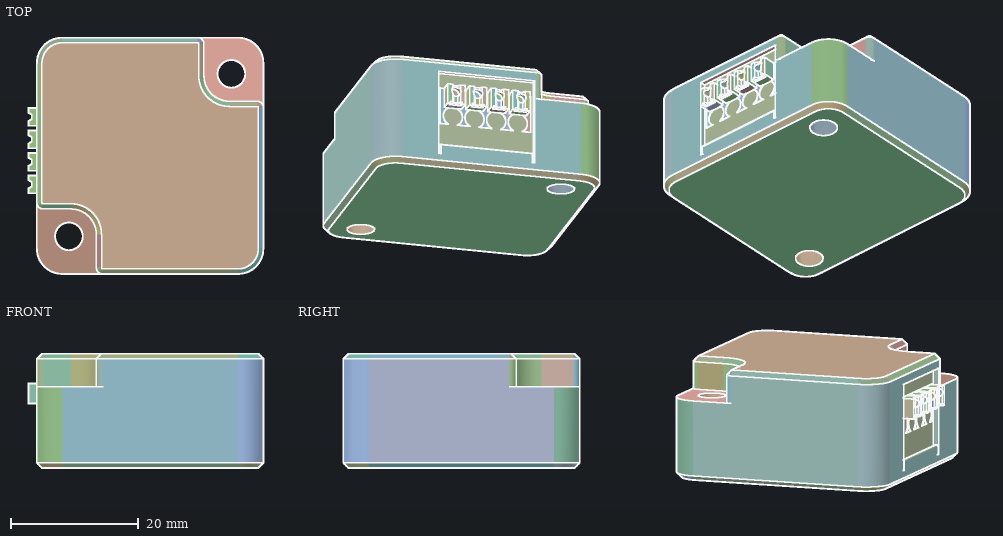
import cadquery as cq

overall_x = 36.78
body_y = 37.0
body_z = 17.9
block_projection = 1.3
body_x = overall_x - block_projection
corner_radius = 4.0
rim_chamfer = 0.8

ledge_z = 12.73
hole_spacing = 25.42
hole_shift_y = 0.1
hole_diameter = 4.3
ledge_wall_offset = 4.3
ledge_edge_radius = 1.0

side_x = -body_x / 2
recess_center_y = 0.8
recess_width = 15.55
recess_bottom_z = 2.0
recess_top_z = 15.7
recess_depth = 0.9
floor_x = side_x + recess_depth

lip_side_gap = 0.35
lip_thickness = 0.35
lip_top_z = 3.6
lip_round_radius = 0.3

plate_width = 14.73
plate_bottom_z = 7.33
plate_top_z = 13.25
plate_thickness = 0.07
terminal_count = 4
terminal_pitch = 3.5
block_width = 2.8
block_bottom_z = 10.05
front_x = side_x - block_projection

groove_mouth_width = 1.3
groove_floor_width = 0.7
groove_depth = 0.48
screw_hole_radius = 0.75
screw_hole_z = 12.2
screw_hole_depth = 1.48
wire_opening_radius = 1.55
wire_opening_z = (plate_bottom_z + block_bottom_z) / 2
wire_notch_width = 1.92
wire_notch_top_z = 10.35
wire_notch_depth = 0.75


def box_between(x0, x1, center_y, width, z0, z1):
    """Box from x0 to x1 and z0 to z1, centred on center_y."""
    corner = (x0, center_y - width / 2, z0)
    return cq.Workplane("XY").box(x1 - x0, width, z1 - z0, centered=False).translate(corner)


def make_base():
    base = cq.Workplane("XY").rect(body_x, body_y).extrude(ledge_z)
    return base.edges("|Z").fillet(corner_radius).faces("<Z").chamfer(rim_chamfer)


def make_cover():
    """Upper part of the enclosure, cut back at the two mounting corners."""
    half_x = body_x / 2
    half_y = body_y / 2
    wall_x = hole_spacing / 2 - ledge_wall_offset
    back_wall_y = hole_shift_y + wall_x
    front_wall_y = hole_shift_y - wall_x
    outline = [
        (-wall_x, -half_y),
        (half_x, -half_y),
        (half_x, back_wall_y),
        (wall_x, back_wall_y),
        (wall_x, half_y),
        (-half_x, half_y),
        (-half_x, front_wall_y),
        (-wall_x, front_wall_y),
    ]
    inner_corners = [(wall_x, back_wall_y), (-wall_x, front_wall_y)]
    outer_corners = [(half_x, -half_y), (-half_x, half_y)]
    ledge_ends = [(half_x, back_wall_y), (wall_x, half_y), (-half_x, front_wall_y), (-wall_x, -half_y)]

    cover = cq.Workplane("XY", origin=(0, 0, ledge_z)).polyline(outline).close()
    cover = cover.extrude(body_z - ledge_z)
    middle_z = (ledge_z + body_z) / 2
    for x, y in inner_corners + outer_corners:
        cover = cover.edges(cq.NearestToPointSelector((x, y, middle_z))).fillet(corner_radius)
    for x, y in ledge_ends:
        cover = cover.edges(cq.NearestToPointSelector((x, y, middle_z))).fillet(ledge_edge_radius)
    return cover.faces(">Z").chamfer(rim_chamfer)


def make_mounting_holes():
    offset = hole_spacing / 2
    centers = [(-offset, hole_shift_y - offset), (offset, hole_shift_y + offset)]
    return cq.Workplane("XY").pushPoints(centers).circle(hole_diameter / 2).extrude(body_z)


def make_recess():
    """Volume removed from the -X wall, leaving the rounded lip standing."""
    recess = box_between(side_x, floor_x, recess_center_y, recess_width, recess_bottom_z, recess_top_z)
    lip_width = recess_width - 2 * lip_side_gap
    lip_back_x = side_x + lip_thickness
    lip = box_between(side_x, lip_back_x, recess_center_y, lip_width, recess_bottom_z, lip_top_z)
    lip = lip.edges("<X and >Z").fillet(lip_round_radius)
    return recess.cut(lip)


def cylinder_along_x(x, y, z, radius, depth):
    return cq.Workplane("YZ", origin=(x, y, z)).circle(radius).extrude(depth)


def cut_terminal(connector, y):
    """Cut the screw groove, screw hole and keyhole wire opening of one terminal."""
    groove_x = front_x + groove_depth
    groove_profile = [
        (front_x, y - groove_mouth_width / 2),
        (groove_x, y - groove_floor_width / 2),
        (groove_x, y + groove_floor_width / 2),
        (front_x, y + groove_mouth_width / 2),
    ]
    groove = cq.Workplane("XY", origin=(0, 0, block_bottom_z)).polyline(groove_profile).close()
    groove = groove.extrude(plate_top_z - block_bottom_z)
    screw_hole = cylinder_along_x(front_x, y, screw_hole_z, screw_hole_radius, screw_hole_depth)

    opening_depth = floor_x - front_x
    wire_opening = cylinder_along_x(front_x, y, wire_opening_z, wire_opening_radius, opening_depth)
    below_block = box_between(front_x, floor_x, y, 2 * wire_opening_radius, plate_bottom_z, block_bottom_z)
    wire_opening = wire_opening.intersect(below_block)
    notch_x = front_x + wire_notch_depth
    notch = box_between(front_x, notch_x, y, wire_notch_width, block_bottom_z, wire_notch_top_z)
    return connector.cut(groove).cut(screw_hole).cut(wire_opening).cut(notch)


def make_connector():
    plate_x = floor_x - plate_thickness
    connector = box_between(plate_x, floor_x, recess_center_y, plate_width, plate_bottom_z, plate_top_z)
    first_y = recess_center_y - terminal_pitch * (terminal_count - 1) / 2
    terminal_ys = [first_y + index * terminal_pitch for index in range(terminal_count)]
    for y in terminal_ys:
        connector = connector.union(
            box_between(front_x, floor_x, y, block_width, block_bottom_z, plate_top_z)
        )
    for y in terminal_ys:
        connector = cut_terminal(connector, y)
    return connector


enclosure = make_base().union(make_cover()).cut(make_mounting_holes()).cut(make_recess())
result = enclosure.union(make_connector())